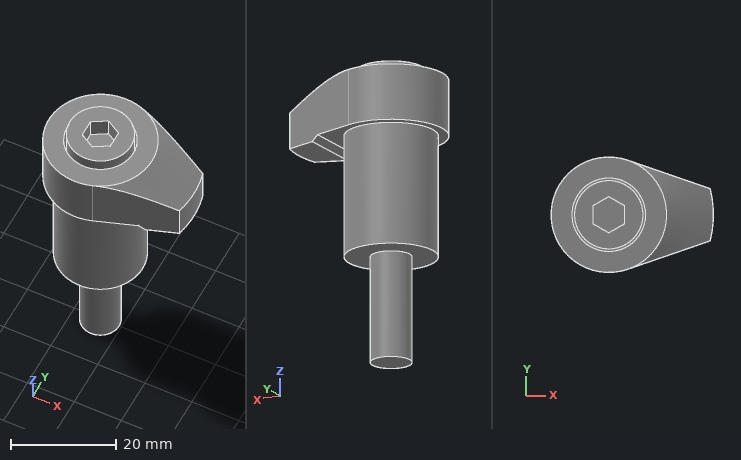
import cadquery as cq
import math

sleeve_bottom = 21.0
clamp_bottom = 45.0
clamp_top = 56.0
screw_top = 58.0

clamp_length = 30.9
head_radius = 22.0 / 2
sleeve_radius = 18.0 / 2
arm_reach = clamp_length - head_radius
arm_taper_angle = math.radians(19)
arm_slope_drop = 5.0
nose_drop = 1.05
nose_ramp_start = 11.85
nose_ramp_end = 13.2

shank_radius = 8.0 / 2
cap_radius = 13.0 / 2
cap_height = 8.0
socket_across_flats = 6.0
socket_depth = 4.0

counterbore_radius = 14.0 / 2
cap_seat = screw_top - cap_height


def cylinder(radius, bottom, top):
    """Upright cylinder on the Z axis."""
    return cq.Workplane("XY", origin=(0, 0, bottom)).circle(radius).extrude(top - bottom)


def make_arm():
    """Arm tangent to the head, with a conical top, a round end and a lowered nose."""
    nose_bottom = clamp_bottom - nose_drop
    tangent_x = head_radius * math.sin(arm_taper_angle)
    tangent_y = head_radius * math.cos(arm_taper_angle)
    end_y = tangent_y - (arm_reach - tangent_x) * math.tan(arm_taper_angle)
    plan = (
        cq.Workplane("XY", origin=(0, 0, nose_bottom))
        .moveTo(0, 0)
        .lineTo(tangent_x, -tangent_y)
        .lineTo(arm_reach, -end_y)
        .lineTo(arm_reach, end_y)
        .lineTo(tangent_x, tangent_y)
        .close()
        .extrude(clamp_top - nose_bottom)
    )
    turned_envelope = (
        cq.Workplane("XZ")
        .moveTo(0, nose_bottom)
        .lineTo(arm_reach, nose_bottom)
        .lineTo(arm_reach, clamp_top - arm_slope_drop)
        .lineTo(head_radius, clamp_top)
        .lineTo(0, clamp_top)
        .close()
        .revolve(360, (0, 0, 0), (0, 1, 0))
    )
    under_nose = (
        cq.Workplane("XZ")
        .moveTo(0, nose_bottom)
        .lineTo(nose_ramp_end, nose_bottom)
        .lineTo(nose_ramp_start, clamp_bottom)
        .lineTo(0, clamp_bottom)
        .close()
        .extrude(head_radius, both=True)
    )
    return plan.intersect(turned_envelope).cut(under_nose)


def make_clamp():
    """Head, sleeve and arm in one piece, bored for the screw."""
    head = cylinder(head_radius, clamp_bottom, clamp_top)
    sleeve = cylinder(sleeve_radius, sleeve_bottom, clamp_bottom)
    bore = cylinder(shank_radius, sleeve_bottom, clamp_top)
    counterbore = cylinder(counterbore_radius, cap_seat, clamp_top)
    return head.union(sleeve).union(make_arm()).cut(bore).cut(counterbore)


def make_screw():
    """Shank and cap with a hexagon socket whose corners point along Y."""
    shank = cylinder(shank_radius, 0, cap_seat)
    cap = cylinder(cap_radius, cap_seat, screw_top)
    socket_across_corners = socket_across_flats / math.cos(math.pi / 6)
    socket = (
        cq.Workplane("XY", origin=(0, 0, screw_top - socket_depth))
        .transformed(rotate=(0, 0, 90))
        .polygon(6, socket_across_corners)
        .extrude(socket_depth)
    )
    return shank.union(cap).cut(socket)


clamp = make_clamp().solids()
screw = make_screw().solids()
result = cq.Compound.makeCompound([clamp.val(), screw.val()])